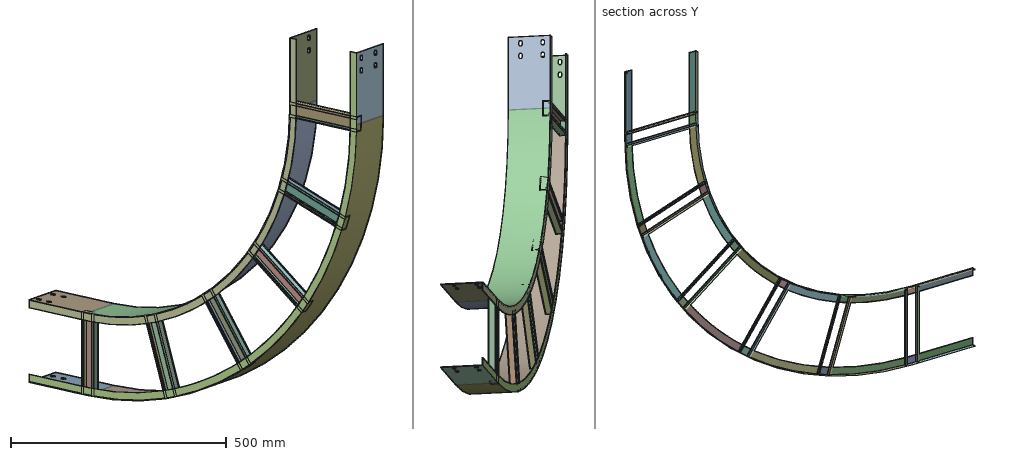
import cadquery as cq
import math


overall_length = 973.0
rail_height = 100.0
ladder_width = 199.0
straight_length = 173.0
flange_width = 19.0
sheet = 2.0

outer_radius = overall_length - straight_length
inner_radius = outer_radius - ladder_width

rung_count = 6
rung_width = 37.0
rung_depth = 18.0
rung_lip = 7.0
bend_angle = 90.0

slot_length = 13.0
slot_width = 8.0
slot_end_distances = (16.0, 46.0)
slot_heights = (18.5, 71.0)


def bent_strip(small_radius, large_radius, height):
    """Strip between two radii: straight, quarter bend, straight; extruded from Y = 0 towards +Y."""
    diagonal = math.sqrt(0.5)
    return (
        cq.Workplane("XZ")
        .moveTo(-straight_length, -large_radius)
        .lineTo(0, -large_radius)
        .threePointArc((large_radius * diagonal, -large_radius * diagonal), (large_radius, 0))
        .lineTo(large_radius, straight_length)
        .lineTo(small_radius, straight_length)
        .lineTo(small_radius, 0)
        .threePointArc((small_radius * diagonal, -small_radius * diagonal), (0, -small_radius))
        .lineTo(-straight_length, -small_radius)
        .close()
        .extrude(-height)
    )


def inner_rail():
    """Angle section with its flange pointing away from the bend centre."""
    web = bent_strip(inner_radius, inner_radius + sheet, rail_height)
    flange = bent_strip(inner_radius, inner_radius + flange_width, sheet)
    return web.union(flange)


def outer_rail():
    """Angle section with its flange pointing towards the bend centre."""
    web = bent_strip(outer_radius - sheet, outer_radius, rail_height)
    flange = bent_strip(outer_radius - flange_width, outer_radius, sheet)
    return web.union(flange)


def rung(angle):
    """Lipped channel, open towards -Y, resting on the flanges and reaching into both webs."""
    start = inner_radius + sheet / 2
    length = ladder_width - sheet
    middle_y = sheet + rung_depth / 2
    section = cq.Workplane("YZ", origin=(start, middle_y, 0))
    body = section.rect(rung_depth, rung_width).extrude(length)
    cavity = section.rect(rung_depth - 2 * sheet, rung_width - 2 * sheet).extrude(length)
    opening = (
        section.center(-rung_depth / 2, 0)
        .rect(2 * sheet, rung_width - 2 * rung_lip)
        .extrude(length)
    )
    return body.cut(cavity).cut(opening).rotate((0, 0, 0), (0, 1, 0), angle)


def end_slots():
    """Cutters for the slots of both ladder ends, each passing through both rails."""
    slots = [
        (straight_length - end_distance, height)
        for end_distance in slot_end_distances
        for height in slot_heights
    ]
    left_end = (
        cq.Workplane("XY")
        .pushPoints([(-along, height) for along, height in slots])
        .slot2D(slot_length, slot_width)
        .extrude(-overall_length)
    )
    top_end = (
        cq.Workplane("YZ")
        .pushPoints([(height, along) for along, height in slots])
        .slot2D(slot_length, slot_width, 90)
        .extrude(overall_length)
    )
    return left_end.union(top_end)


result = inner_rail().union(outer_rail())
for index in range(rung_count):
    result = result.union(rung(index * bend_angle / (rung_count - 1)))
result = result.cut(end_slots())